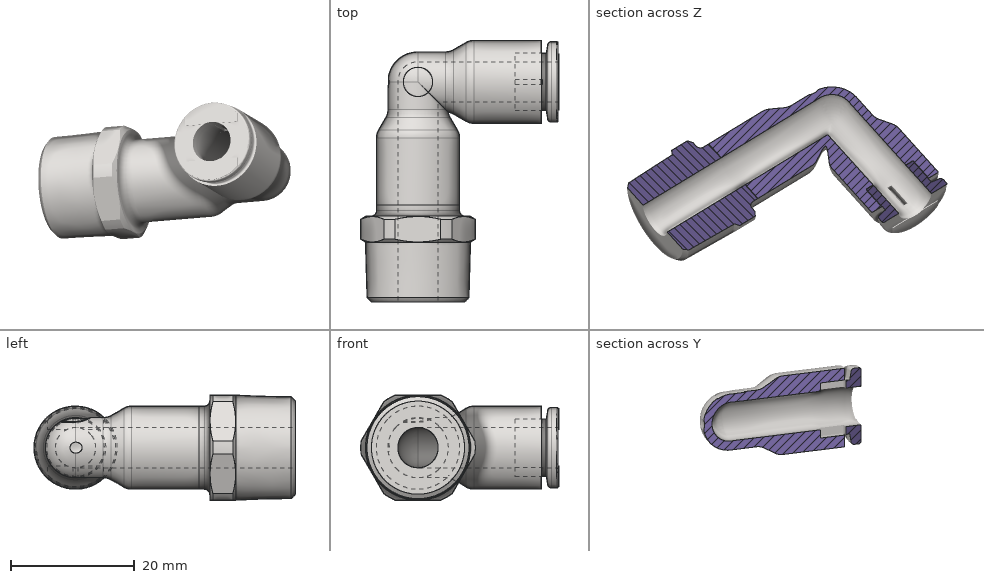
import cadquery as cq
import math


tube_radius = 4.85
arm_radius = 6.73
arm_length = 19.92
flare_start = 4.5
flare_angle = math.radians(30)
flare_blend_radius = 2.55
bore_radius = 3.25
badge_radius = 2.35
badge_depth = 0.13
dimple_radius = 0.9
dimple_depth = 0.15

collar_length = 0.9
hex_start = 21.7
hex_end = 25.95
hex_flats = 17.0
hex_corner_radius = 9.25
hex_face_radius = 8.4
hex_chamfer = 0.5
thread_start_radius = 8.5
thread_end_radius = 8.25
thread_chamfer = 0.7
stud_end = 35.57

collet_neck_radius = 4.65
collet_depth = 4.25
flange_radius = 6.5
flange_start = 20.73
flange_back_taper = 0.2
flange_end = 22.65
flange_back_round = 0.65
flange_front_round = 0.2
pad_height = 0.13
pad_half_width = 4.53
pad_inner_height = 2.95
slot_width = 0.75
slot_overrun = 0.13

X_AXIS = ((0, 0, 0), (1, 0, 0))


def turned_about_x(outline):
    """Revolve a closed outline, drawn as axial distance and radius, about the X axis."""
    return outline.close().revolve(360, *X_AXIS)


def onto_stud_axis(body):
    """Swing a body built along +X round to -Y."""
    return body.rotate((0, 0, 0), (0, 0, 1), -90)


def rod(radius, start, end):
    """Solid cylinder on the X axis."""
    return cq.Workplane("YZ", origin=(start, 0, 0)).circle(radius).extrude(end - start)


def elbow_arm():
    """Half of the elbow: the tube, its tangent flare and the wide arm, along +X."""
    blend_length = flare_blend_radius * math.sin(flare_angle)
    blend_rise = flare_blend_radius * (1 - math.cos(flare_angle))
    mid_length = flare_blend_radius * math.sin(flare_angle / 2)
    mid_rise = flare_blend_radius * (1 - math.cos(flare_angle / 2))
    cone_rise = arm_radius - tube_radius - 2 * blend_rise
    cone_start = flare_start + blend_length
    cone_end = cone_start + cone_rise / math.tan(flare_angle)
    flare_end = cone_end + blend_length
    outline = (
        cq.Workplane("XY")
        .lineTo(0, tube_radius)
        .lineTo(flare_start, tube_radius)
        .threePointArc((flare_start + mid_length, tube_radius + mid_rise),
                       (cone_start, tube_radius + blend_rise))
        .lineTo(cone_end, arm_radius - blend_rise)
        .threePointArc((flare_end - mid_length, arm_radius - mid_rise),
                       (flare_end, arm_radius))
        .lineTo(arm_length, arm_radius)
        .lineTo(arm_length, 0)
    )
    return turned_about_x(outline)


def bend(radius, length):
    """Two round rods at a right angle with a ball at the corner."""
    leg = rod(radius, 0, length)
    ball = cq.Workplane("XY").sphere(radius)
    return ball.union(leg).union(onto_stud_axis(leg))


def badge_recess():
    """Round recess whose floor follows the bend at a constant depth."""
    disc = cq.Workplane("XY").circle(badge_radius).extrude(arm_radius)
    return disc.cut(bend(tube_radius - badge_depth, arm_length))


def gate_dimple():
    """Ball that leaves a spherical dimple on the -X side of the bend."""
    rim = math.sqrt(tube_radius ** 2 - dimple_radius ** 2)
    ball_radius = (dimple_radius ** 2 + dimple_depth ** 2) / (2 * dimple_depth)
    return cq.Workplane("XY").sphere(ball_radius).translate((dimple_depth - rim - ball_radius, 0, 0))


def make_elbow():
    arm = elbow_arm()
    body = cq.Workplane("XY").sphere(tube_radius).union(arm).union(onto_stud_axis(arm))
    body = body.cut(bend(bore_radius, arm_length))
    body = body.cut(badge_recess()).cut(gate_dimple())
    collet_socket = rod(collet_neck_radius, arm_length - collet_depth, arm_length)
    return body.cut(collet_socket)


def stud_collar():
    """Round collar against the elbow, with a fillet running out onto the hexagon."""
    fillet_radius = hex_start - arm_length - collar_length
    fillet_start = arm_length + collar_length
    fillet_mid = fillet_radius * math.sin(math.radians(45))
    outline = (
        cq.Workplane("XY")
        .moveTo(arm_length, 0)
        .lineTo(arm_length, arm_radius)
        .lineTo(fillet_start, arm_radius)
        .threePointArc((fillet_start + fillet_mid, arm_radius + fillet_radius - fillet_mid),
                       (hex_start, arm_radius + fillet_radius))
        .lineTo(hex_start, 0)
    )
    return turned_about_x(outline)


def stud_hexagon():
    """Hexagon with flats facing +Z and -Z and turned, chamfered corners."""
    across_corners = hex_flats / math.cos(math.radians(30))
    prism = (
        cq.Workplane("YZ", origin=(hex_start, 0, 0))
        .polygon(6, across_corners)
        .extrude(hex_end - hex_start)
    )
    envelope = (
        cq.Workplane("XY")
        .moveTo(hex_start, 0)
        .lineTo(hex_start, hex_face_radius)
        .lineTo(hex_start + hex_chamfer, hex_corner_radius)
        .lineTo(hex_end - hex_chamfer, hex_corner_radius)
        .lineTo(hex_end, hex_face_radius)
        .lineTo(hex_end, 0)
    )
    return prism.intersect(turned_about_x(envelope))


def stud_thread():
    """Tapered thread blank with a chamfered end."""
    outline = (
        cq.Workplane("XY")
        .moveTo(hex_end, 0)
        .lineTo(hex_end, thread_start_radius)
        .lineTo(stud_end - thread_chamfer, thread_end_radius)
        .lineTo(stud_end, thread_end_radius - thread_chamfer)
        .lineTo(stud_end, 0)
    )
    return turned_about_x(outline)


def make_stud():
    body = stud_hexagon().union(stud_collar()).union(stud_thread())
    body = body.cut(rod(bore_radius, arm_length, stud_end))
    return onto_stud_axis(body)


def collet_flange():
    """Flange with a leaning back face and rounded rim."""
    back = flange_start + flange_back_taper
    back_mid = flange_back_round * (1 - math.cos(math.radians(45)))
    front_mid = flange_front_round * (1 - math.cos(math.radians(45)))
    outline = (
        cq.Workplane("XY")
        .moveTo(flange_start, 0)
        .lineTo(flange_start, collet_neck_radius)
        .lineTo(back, flange_radius - flange_back_round)
        .threePointArc((back + back_mid, flange_radius - back_mid),
                       (back + flange_back_round, flange_radius))
        .lineTo(flange_end - flange_front_round, flange_radius)
        .threePointArc((flange_end - front_mid, flange_radius - front_mid),
                       (flange_end, flange_radius - flange_front_round))
        .lineTo(flange_end, 0)
    )
    return turned_about_x(outline)


def collet_pads():
    """Two low pads on the end face, one above and one below the mid plane."""
    face_disc = rod(flange_radius - flange_front_round, flange_end, flange_end + pad_height)
    cutter_length = 2 * (flange_end + 2 * pad_height)
    strip = cq.Workplane("XY").box(cutter_length, 2 * pad_half_width, 2 * flange_radius)
    gap = cq.Workplane("XY").box(cutter_length, 2 * flange_radius, 2 * pad_inner_height)
    return face_disc.intersect(strip).cut(gap)


def make_collet():
    sleeve_start = arm_length - collet_depth
    body = rod(collet_neck_radius, sleeve_start, flange_start)
    body = body.union(collet_flange()).union(collet_pads())
    body = body.cut(rod(bore_radius, sleeve_start, flange_end + pad_height))
    slot_end = arm_length + slot_overrun
    slot = (
        cq.Workplane("XY")
        .box(slot_end - sleeve_start, slot_width, 2 * flange_radius)
        .translate(((slot_end + sleeve_start) / 2, 0, 0))
    )
    return body.cut(slot)


elbow = make_elbow()
stud = make_stud()
collet = make_collet()

result = cq.Compound.makeCompound([elbow.solids().val(), stud.solids().val(), collet.solids().val()])